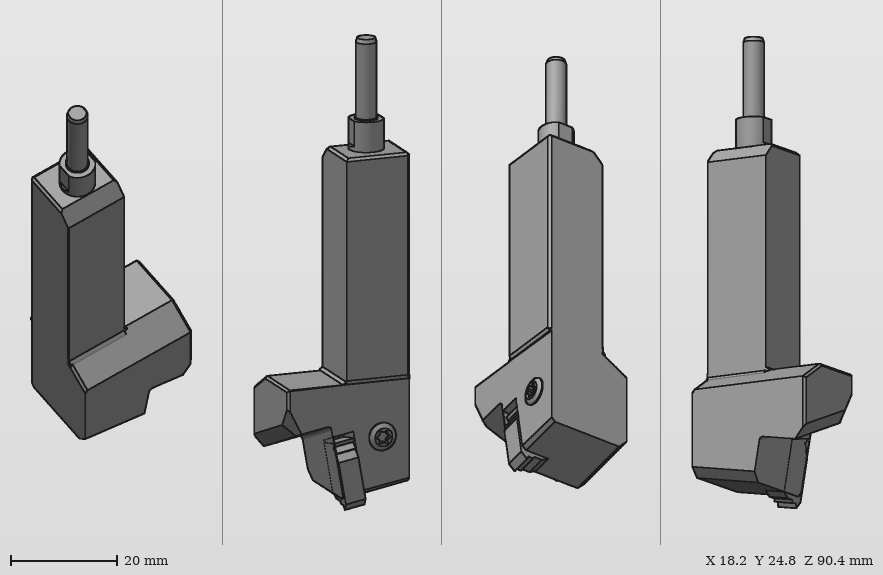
import cadquery as cq
import math


shank_side = -0.3
shank_right = 12.2
shank_depth = 12.9
shank_top = 68.8
edge_chamfer = 0.5
right_edge_chamfer = 0.2
corner_chamfer = 2.7

head_width = 17.7
head_depth = 24.8
shelf_height = 24.7
ramp_start = 11.7
ramp_angle = 30
head_edge_chamfer = 0.45
head_side_chamfer = 0.2
head_taper = 0.3
step_rise = 0.8
junction_width = 0.6
junction_rise = 0.5
bottom_front_height = 4.5
bottom_side_chamfer = 1.0
bottom_back_chamfer = 1.8

pin_x = 6.0
pin_y = 6.5
pin_top = 90.4
pin_diameter = 4.0
pin_tip_drop = 0.8
pin_tip_inset = 0.3
collar_diameter = 6.8
collar_top = 74.65
collar_lip_diameter = 4.4
collar_lip_height = 0.2
collar_flats = 6.1
flat_bottom = 69.8
flat_runout = 0.45

screw_y = 5.5
screw_z = 13.8
screw_diameter = 5.4
screw_top_diameter = 3.5
screw_height = 0.5
socket_core_diameter = 2.1
socket_lobe_diameter = 0.6
socket_lobes = 6
socket_depth = 1.1

seat_angle = 10
roof_angle = 20
leaning = math.radians(seat_angle)
lean = math.tan(leaning)
roof_fall = math.tan(math.radians(roof_angle))
seat_y = 9.2
seat_z = bottom_front_height - seat_y * lean

insert_side = -0.3
insert_back = 6.1
insert_thickness = 4.1
seat_roof = 12.7
tip_level = insert_thickness * lean - seat_z / math.cos(leaning)
lower_edge = [
    (insert_side, -0.8),
    (0.9, tip_level),
    (1.4, -1.4),
    (2.4, -1.45),
    (2.8, -0.9),
    (4.5, -0.9),
    (insert_back, 0),
]
upper_edge = [
    (insert_back, 10.1),
    (0.6, 11.2),
    (0.9, 10.5),
    (1.45, 10.2),
    (0.45, 9.2),
    (0.8, 8.95),
    (insert_side, 7.6),
]

gullet_roof = 15.0
gullet_wall_gap = 0.2
gullet_wall = insert_thickness + gullet_wall_gap
gullet_fillet = 0.7
gullet_corner_y = 22.6
gullet_outer_slope = 1.2
break_top_z = 21.4
break_corner_y = 22.05
break_corner_z = 16.1
break_fall = 1.4

reach = 54.2
margin = 0.9


def seat_frame():
    """Plane at the foot of the seat: local x is X, local y runs up the leaning insert."""
    return cq.Plane(
        origin=(0, seat_y, seat_z),
        xDir=(1, 0, 0),
        normal=(0, -math.cos(leaning), math.sin(leaning)),
    )


def seat_point(across, up):
    """Y and Z of a point given across the insert thickness and up along the insert."""
    y = seat_y + across * math.cos(leaning) + up * math.sin(leaning)
    z = seat_z - across * math.sin(leaning) + up * math.cos(leaning)
    return y, z


def ramp_z(x):
    """Height of the ramp beside the shank."""
    return shelf_height - (x - ramp_start) * math.tan(math.radians(ramp_angle))


def make_shank():
    foot = shelf_height / 2
    shank = (
        cq.Workplane("XY")
        .box(shank_right - shank_side, shank_depth, shank_top - foot, centered=False)
        .translate((shank_side, 0, foot))
    )
    shank = shank.edges(">X and >Z").chamfer(corner_chamfer)
    shank = shank.faces(">Z").edges("<X or >Y or <Y").chamfer(edge_chamfer)
    shank = shank.edges("|Z and <X and <Y").chamfer(edge_chamfer)
    shank = shank.edges("|Z and >X and <Y").chamfer(right_edge_chamfer)
    step = (
        cq.Workplane("XZ")
        .polyline([(shank_side - margin, 0), (0, 0), (0, shelf_height),
                   (shank_side, shelf_height + step_rise), (shank_side - margin, shelf_height + step_rise)])
        .close()
        .extrude(-reach)
    )
    return shank.cut(step)


def make_head_block():
    head = (
        cq.Workplane("XZ")
        .polyline([(0, 0), (head_width, 0), (head_width, ramp_z(head_width)),
                   (ramp_start, shelf_height), (0, shelf_height)])
        .close()
        .extrude(-head_depth)
    )
    head = head.faces(">Y").edges("not <Z").chamfer(head_edge_chamfer)
    head = head.edges("<X and >Z").chamfer(head_side_chamfer)
    middle_x = (ramp_start + head_width) / 2
    ramp_middle = (middle_x, 0, ramp_z(middle_x))
    return head.edges(cq.selectors.NearestToPointSelector(ramp_middle)).chamfer(edge_chamfer)


def make_junction():
    """Sloped skirt where the shank meets the shelf and the ramp."""
    skirt_right = shank_right + junction_width
    back = (
        cq.Workplane("YZ")
        .polyline([(0, shelf_height - junction_rise),
                   (shank_depth + junction_width, shelf_height - junction_rise),
                   (shank_depth + junction_width, shelf_height),
                   (shank_depth, shelf_height + junction_rise),
                   (0, shelf_height + junction_rise)])
        .close()
        .extrude(shank_right)
    )
    right = (
        cq.Workplane("XZ", origin=(0, right_edge_chamfer, 0))
        .polyline([(ramp_start, ramp_z(skirt_right) - margin), (skirt_right, ramp_z(skirt_right) - margin),
                   (skirt_right, ramp_z(skirt_right)),
                   (shank_right, ramp_z(skirt_right) + junction_rise),
                   (ramp_start, ramp_z(skirt_right) + junction_rise)])
        .close()
        .extrude(right_edge_chamfer - shank_depth)
    )
    return back.union(right)


def make_side_taper():
    """Thin wedge by which the side face of the head draws in toward the front."""
    return (
        cq.Workplane("XY")
        .polyline([(0, head_depth), (head_taper, 0), (0, 0)])
        .close()
        .extrude(shelf_height)
    )


def make_below_bottom():
    """Everything under the leaning bottom face with its chamfered sides."""
    depth = reach / 2
    return (
        cq.Workplane(seat_frame())
        .polyline([(-margin, -depth), (head_width + margin, -depth),
                   (head_width + margin, bottom_back_chamfer + margin),
                   (head_width - bottom_back_chamfer, 0), (bottom_side_chamfer, 0),
                   (-margin, bottom_side_chamfer + margin)])
        .close()
        .extrude(reach, both=True)
    )


def sweep_across(profile, y_fall, z_fall):
    """Sweep a YZ profile at X = 0 right through the head, shifting it by the given falls per unit of X."""
    direction = cq.Vector(head_width, -head_width * y_fall, -head_width * z_fall)
    swept = cq.Solid.extrudeLinear(profile.val(), [], direction * 2)
    return cq.Workplane(swept.translate(direction * -0.5))


def make_gullet():
    """Chip space beside the insert: roof and inner wall lean with the seat, outer wall is straight."""
    inset = gullet_fillet * (1 - math.sqrt(0.5))
    roof_and_wall = (
        cq.Workplane("YZ")
        .moveTo(*seat_point(reach, gullet_roof))
        .lineTo(*seat_point(gullet_wall + gullet_fillet, gullet_roof))
        .threePointArc(seat_point(gullet_wall + inset, gullet_roof - inset),
                       seat_point(gullet_wall, gullet_roof - gullet_fillet))
        .lineTo(*seat_point(gullet_wall, -reach))
        .lineTo(*seat_point(reach, -reach))
        .close()
    )
    under_roof = sweep_across(roof_and_wall, roof_fall * math.sin(leaning), roof_fall * math.cos(leaning))

    corner_across = (gullet_corner_y - seat_point(0, gullet_roof)[0]) / math.cos(leaning)
    corner_z = seat_point(corner_across, gullet_roof)[1]
    outer_side = (
        cq.Workplane("YZ")
        .polyline([(gullet_corner_y, corner_z),
                   (gullet_corner_y + reach, corner_z + reach * gullet_outer_slope),
                   (gullet_corner_y + reach, -reach), (gullet_corner_y, -reach)])
        .close()
    )
    return under_roof.union(sweep_across(outer_side, 0, roof_fall / math.cos(leaning)))


def make_gullet_break():
    """Bevel between the side face of the head and the outer wall of the gullet."""
    slope = (break_top_z - break_corner_z) / (head_depth - break_corner_y)
    profile = (
        cq.Workplane("YZ")
        .polyline([(break_corner_y, break_corner_z),
                   (break_corner_y + reach, break_corner_z + reach * slope),
                   (break_corner_y + reach, -reach), (break_corner_y, -reach)])
        .close()
    )
    return sweep_across(profile, 0, break_fall)


def make_seat():
    """Pocket that holds the insert, open at the side and the bottom."""
    return (
        cq.Workplane(seat_frame())
        .polyline([(-margin, -reach / 2), (insert_back, -reach / 2),
                   (insert_back, seat_roof - insert_back * roof_fall),
                   (-margin, seat_roof + margin * roof_fall)])
        .close()
        .extrude(-insert_thickness)
    )


def make_pin():
    """Stepped pin with two flats on its collar."""
    tip_radius = pin_diameter / 2 - pin_tip_inset
    pin = (
        cq.Workplane("XZ")
        .polyline([(0, shank_top - margin), (collar_diameter / 2, shank_top - margin),
                   (collar_diameter / 2, collar_top), (collar_lip_diameter / 2, collar_top),
                   (collar_lip_diameter / 2, collar_top + collar_lip_height),
                   (pin_diameter / 2, collar_top + collar_lip_height),
                   (pin_diameter / 2, pin_top - pin_tip_drop), (tip_radius, pin_top), (0, pin_top)])
        .close()
        .revolve(360, (0, 0), (0, 1))
    )
    half = collar_flats / 2
    flat = (
        cq.Workplane("YZ")
        .polyline([(half, collar_top), (half, flat_bottom),
                   (half + flat_runout, flat_bottom - flat_runout), (half + flat_runout, collar_top)])
        .close()
        .extrude(collar_diameter, both=True)
    )
    pin = pin.cut(flat).cut(flat.mirror("XZ"))
    return pin.translate((pin_x, pin_y, 0))


def make_screw_head():
    """Tapered head standing on the side face, with its rim sunk past the taper of that face."""
    return (
        cq.Workplane("XY")
        .polyline([(head_taper, 0), (head_taper, screw_diameter / 2), (0, screw_diameter / 2),
                   (-screw_height, screw_top_diameter / 2), (-screw_height, 0)])
        .close()
        .revolve(360, (0, 0), (1, 0))
        .translate((0, screw_y, screw_z))
    )


def make_screw_socket():
    base = cq.Workplane("YZ", origin=(-screw_height, screw_y, screw_z))
    socket = base.circle(socket_core_diameter / 2).extrude(socket_depth)
    lobes = (
        base.polarArray(socket_core_diameter / 2, 0, 360, socket_lobes)
        .circle(socket_lobe_diameter / 2)
        .extrude(socket_depth)
    )
    return socket.union(lobes)


def make_holder():
    holder = make_shank().union(make_head_block()).union(make_junction())
    holder = holder.cut(make_side_taper()).cut(make_below_bottom())
    holder = holder.cut(make_gullet()).cut(make_gullet_break())
    holder = holder.cut(make_seat())
    holder = holder.union(make_pin()).union(make_screw_head())
    return holder.cut(make_screw_socket())


def make_insert():
    """Bar with a toothed cutting edge at its lower end and a notched upper end."""
    return (
        cq.Workplane(seat_frame())
        .polyline(lower_edge + upper_edge)
        .close()
        .extrude(-insert_thickness)
    )


holder = make_holder()
insert = make_insert()
result = cq.Compound.makeCompound([holder.solids().val(), insert.val()])